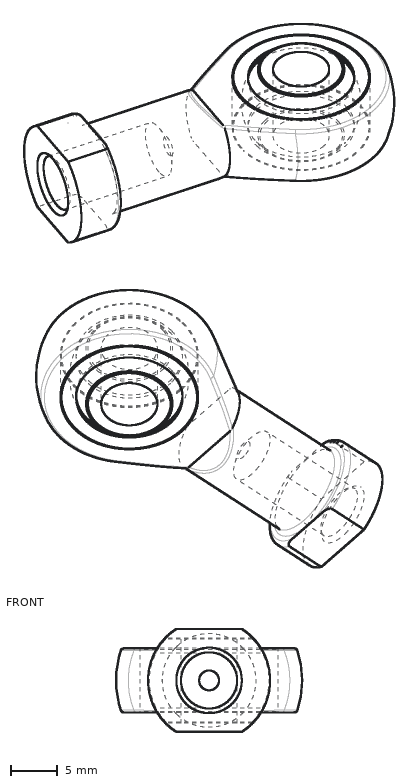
import cadquery as cq
import math


eye_radius = 9.95
eye_thickness = 6.87
milled_edge_fillet = 0.4
taper_angle = 30.0

shank_diameter = 10.0
shank_end_y = eye_radius - 39.95
slope_angle = 45.0

collar_diameter = 13.02
collar_length = 4.95
collar_fillet = 0.48
collar_root_fillet = 0.48
across_flats = 11.0

bore_diameter = 6.0
bore_mouth_diameter = 7.0
bore_depth = 12.8
bore_tip_diameter = 2.1
bore_tip_angle = 118.0

race_diameter = 14.7
race_chamfer = 0.1
race_mouth_diameter = 11.35
ball_width = 9.03
ball_radius = 6.4
ball_chamfer = 0.1
ball_bore_diameter = 6.0

half_eye = eye_thickness / 2
shank_radius = shank_diameter / 2
collar_radius = collar_diameter / 2
rim_end_radius = eye_radius * math.cos(math.radians(taper_angle))
rim_end_y = -eye_radius * math.sin(math.radians(taper_angle))
neck_y = rim_end_y - (rim_end_radius - shank_radius) / math.tan(math.radians(taper_angle))
collar_top_y = shank_end_y + collar_length


def slab(thickness):
    """Large slab centred on Z = 0, used to trim bodies to a thickness."""
    side = 8 * eye_radius
    return cq.Workplane("XY").box(side, side, thickness)


def make_eye_and_shank():
    """Sphere, tangent cone and round shank, milled to the eye thickness and sloped at the neck."""
    slope_run = (shank_radius - half_eye) / math.tan(math.radians(slope_angle))
    slope_end_y = neck_y - slope_run
    outline = (
        cq.Workplane("XY")
        .moveTo(0, eye_radius)
        .threePointArc((eye_radius, 0), (rim_end_radius, rim_end_y))
        .lineTo(shank_radius, neck_y)
        .lineTo(shank_radius, shank_end_y)
        .lineTo(0, shank_end_y)
        .close()
    )
    body = outline.revolve(360, (0, 0, 0), (0, 1, 0))
    side_outline = [
        (eye_radius, -half_eye),
        (eye_radius, half_eye),
        (neck_y, half_eye),
        (slope_end_y, shank_radius),
        (shank_end_y, shank_radius),
        (shank_end_y, -shank_radius),
        (slope_end_y, -shank_radius),
        (neck_y, -half_eye),
    ]
    milled = cq.Workplane("YZ").polyline(side_outline).close().extrude(eye_radius, both=True)
    body = body.intersect(milled)
    eye_edges = body.faces("|Z").edges("not(|X)")
    slope_edges = body.edges(
        cq.selectors.BoxSelector(
            (-shank_radius, slope_end_y, -shank_radius),
            (shank_radius, neck_y - slope_run / 4, shank_radius),
        )
    )
    return body.newObject(eye_edges.vals() + slope_edges.vals()).fillet(milled_edge_fillet)


def make_collar():
    """Collar with a rounded shoulder, a filleted root and two wrench flats."""
    root_radius = shank_radius + collar_root_fillet
    root_y = collar_top_y + collar_root_fillet
    rim_y = collar_top_y - collar_fillet
    diagonal = math.sqrt(0.5)
    profile = (
        cq.Workplane("XY")
        .moveTo(0, shank_end_y)
        .lineTo(collar_radius, shank_end_y)
        .lineTo(collar_radius, rim_y)
        .threePointArc(
            (collar_radius - collar_fillet * (1 - diagonal), rim_y + collar_fillet * diagonal),
            (collar_radius - collar_fillet, collar_top_y),
        )
        .lineTo(root_radius, collar_top_y)
        .threePointArc(
            (root_radius - collar_root_fillet * diagonal, root_y - collar_root_fillet * diagonal),
            (shank_radius, root_y),
        )
        .lineTo(0, root_y)
        .close()
    )
    collar = profile.revolve(360, (0, 0, 0), (0, 1, 0))
    return collar.intersect(slab(across_flats))


def make_shank_bore():
    """Blind bore with a chamfered mouth and a conical, flat-tipped bottom."""
    bore_radius = bore_diameter / 2
    mouth_radius = bore_mouth_diameter / 2
    tip_radius = bore_tip_diameter / 2
    tip_length = (bore_radius - tip_radius) / math.tan(math.radians(bore_tip_angle / 2))
    bore_end_y = shank_end_y + bore_depth
    profile = [
        (0, shank_end_y),
        (mouth_radius, shank_end_y),
        (bore_radius, shank_end_y + mouth_radius - bore_radius),
        (bore_radius, bore_end_y),
        (tip_radius, bore_end_y + tip_length),
        (0, bore_end_y + tip_length),
    ]
    return cq.Workplane("XY").polyline(profile).close().revolve(360, (0, 0, 0), (0, 1, 0))


def make_housing():
    """Eye, shank and collar in one solid, bored for the race and along the shank."""
    race_seat = cq.Workplane("XY").circle(race_diameter / 2).extrude(half_eye, both=True)
    body = make_eye_and_shank().union(make_collar())
    return body.cut(race_seat).cut(make_shank_bore())


def make_race():
    """Ring in the eye, with a spherical seat that opens to a straight mouth."""
    ring = cq.Workplane("XY").circle(race_diameter / 2).extrude(half_eye, both=True)
    ring = ring.faces("|Z").edges().chamfer(race_chamfer)
    mouth = cq.Workplane("XY").circle(race_mouth_diameter / 2).extrude(half_eye, both=True)
    return ring.cut(mouth).cut(cq.Workplane("XY").sphere(ball_radius))


def make_ball():
    """Ball cut flat at both ends, with broken edges, bored through along Z."""
    bore = cq.Workplane("XY").circle(ball_bore_diameter / 2).extrude(ball_width, both=True)
    ball = cq.Workplane("XY").sphere(ball_radius).intersect(slab(ball_width))
    return ball.faces("|Z").edges().chamfer(ball_chamfer).cut(bore)


housing = make_housing()
race = make_race()
ball = make_ball()

result = cq.Compound.makeCompound([housing.val(), race.val(), ball.val()])